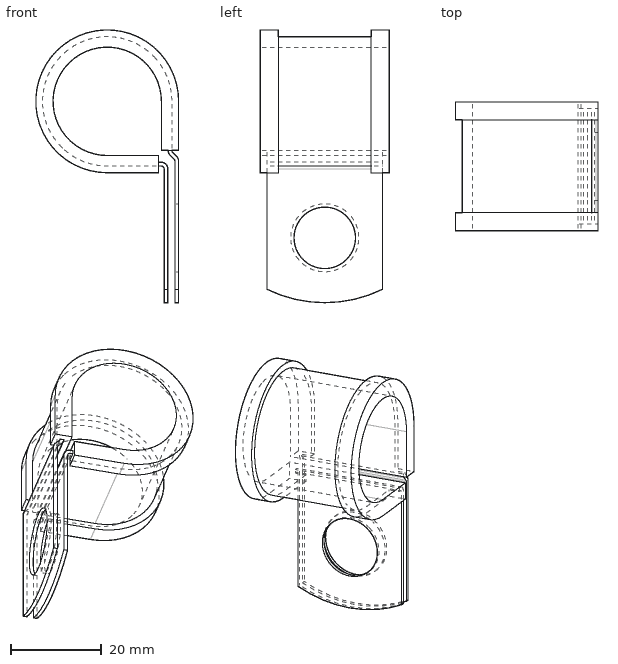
import cadquery as cq
import math

cushion_radius = 15.77
cushion_thickness = 3.85
cushion_width = 28.45
flange_width = 4.0
channel_depth = 1.5
upper_leg_length = 10.8
lower_leg_length = 11.35

strap_thickness = 0.87
strap_width = 25.5
bend_inner_radius = 0.67
jog_angle = 45.0
tab_gap = 1.5
strap_overlap = 1.0

tab_bottom = 44.42
tab_end_radius = 28.9
inner_hole_diameter = 13.5
outer_hole_diameter = 15.0
hole_depth = 30.1

bore_radius = cushion_radius - cushion_thickness
channel_radius = cushion_radius - channel_depth
channel_width = cushion_width - 2 * flange_width
bend_outer_radius = bend_inner_radius + strap_thickness
inner_tab_outside = cushion_radius - strap_thickness - tab_gap
tab_corner = tab_bottom - (
    tab_end_radius - math.sqrt(tab_end_radius**2 - (strap_width / 2) ** 2)
)


def arc_point(center, radius, angle_degrees):
    angle = math.radians(angle_degrees)
    return (center[0] + radius * math.cos(angle), center[1] + radius * math.sin(angle))


def extrude_centered(profile, width):
    """Extrude an XZ profile by the given width, symmetric about Y = 0."""
    return profile.close().extrude(width / 2, both=True)


def cushion_band(outer_radius, width):
    """Three-quarter ring with straight tangent legs, from the bore out to outer_radius."""
    profile = (
        cq.Workplane("XZ")
        .moveTo(outer_radius, -upper_leg_length)
        .lineTo(outer_radius, 0)
        .threePointArc(arc_point((0, 0), outer_radius, 135), (0, -outer_radius))
        .lineTo(lower_leg_length, -outer_radius)
        .lineTo(lower_leg_length, -bore_radius)
        .lineTo(0, -bore_radius)
        .threePointArc(arc_point((0, 0), bore_radius, 135), (bore_radius, 0))
        .lineTo(bore_radius, -upper_leg_length)
    )
    return extrude_centered(profile, width)


def make_cushion():
    """Full-width band with a channel around its outside, leaving a flange at each edge."""
    groove = cushion_band(cushion_radius, channel_width).cut(
        cushion_band(channel_radius, channel_width)
    )
    return cushion_band(cushion_radius, cushion_width).cut(groove)


def make_inner_tab():
    """Strap leaving the -Z leg along +X and turning a quarter bend down into a tab."""
    strap_top = -(channel_radius - strap_thickness)
    bend_center = (inner_tab_outside - bend_outer_radius, strap_top - bend_outer_radius)
    buried_end = lower_leg_length - strap_overlap
    profile = (
        cq.Workplane("XZ")
        .moveTo(buried_end, strap_top)
        .lineTo(bend_center[0], strap_top)
        .threePointArc(
            arc_point(bend_center, bend_outer_radius, 45), (inner_tab_outside, bend_center[1])
        )
        .lineTo(inner_tab_outside, -tab_bottom)
        .lineTo(inner_tab_outside - strap_thickness, -tab_bottom)
        .lineTo(inner_tab_outside - strap_thickness, bend_center[1])
        .threePointArc(
            arc_point(bend_center, bend_inner_radius, 45),
            (bend_center[0], strap_top - strap_thickness),
        )
        .lineTo(buried_end, strap_top - strap_thickness)
    )
    return extrude_centered(profile, strap_width)


def make_outer_tab():
    """Strap leaving the +X leg downward and jogging outward in an S-bend into a tab."""
    strap_outside = channel_radius
    strap_inside = strap_outside - strap_thickness
    tab_outside = cushion_radius
    tab_inside = tab_outside - strap_thickness
    buried_end = -(upper_leg_length - strap_overlap)

    angle = math.radians(jog_angle)
    bend_radius_sum = bend_inner_radius + bend_outer_radius
    slope_shift = channel_depth - bend_radius_sum * (1 - math.cos(angle))
    jog_height = bend_radius_sum * math.sin(angle) + slope_shift / math.tan(angle)
    jog_top = -upper_leg_length
    jog_bottom = jog_top - jog_height
    first_center = (strap_outside + bend_inner_radius, jog_top)
    second_center = (tab_inside - bend_inner_radius, jog_bottom)
    first_middle = 180 + jog_angle / 2
    first_end = 180 + jog_angle
    second_middle = jog_angle / 2

    profile = (
        cq.Workplane("XZ")
        .moveTo(strap_outside, buried_end)
        .lineTo(strap_outside, jog_top)
        .threePointArc(
            arc_point(first_center, bend_inner_radius, first_middle),
            arc_point(first_center, bend_inner_radius, first_end),
        )
        .lineTo(*arc_point(second_center, bend_outer_radius, jog_angle))
        .threePointArc(
            arc_point(second_center, bend_outer_radius, second_middle), (tab_outside, jog_bottom)
        )
        .lineTo(tab_outside, -tab_bottom)
        .lineTo(tab_inside, -tab_bottom)
        .lineTo(tab_inside, jog_bottom)
        .threePointArc(
            arc_point(second_center, bend_inner_radius, second_middle),
            arc_point(second_center, bend_inner_radius, jog_angle),
        )
        .lineTo(*arc_point(first_center, bend_outer_radius, first_end))
        .threePointArc(
            arc_point(first_center, bend_outer_radius, first_middle), (strap_inside, jog_top)
        )
        .lineTo(strap_inside, buried_end)
    )
    return extrude_centered(profile, strap_width)


def make_tab_outline(hole_diameter):
    """Prism along X with the tab's rounded lower end and its bolt hole."""
    half_width = strap_width / 2
    outline = (
        cq.Workplane("YZ")
        .moveTo(-half_width, 0)
        .lineTo(-half_width, -tab_corner)
        .threePointArc((0, -tab_bottom), (half_width, -tab_corner))
        .lineTo(half_width, 0)
        .close()
        .extrude(cushion_radius)
    )
    hole = (
        cq.Workplane("YZ")
        .center(0, -hole_depth)
        .circle(hole_diameter / 2)
        .extrude(cushion_radius)
    )
    return outline.cut(hole)


inner_tab = make_inner_tab().intersect(make_tab_outline(inner_hole_diameter))
outer_tab = make_outer_tab().intersect(make_tab_outline(outer_hole_diameter))
result = make_cushion().union(inner_tab).union(outer_tab)